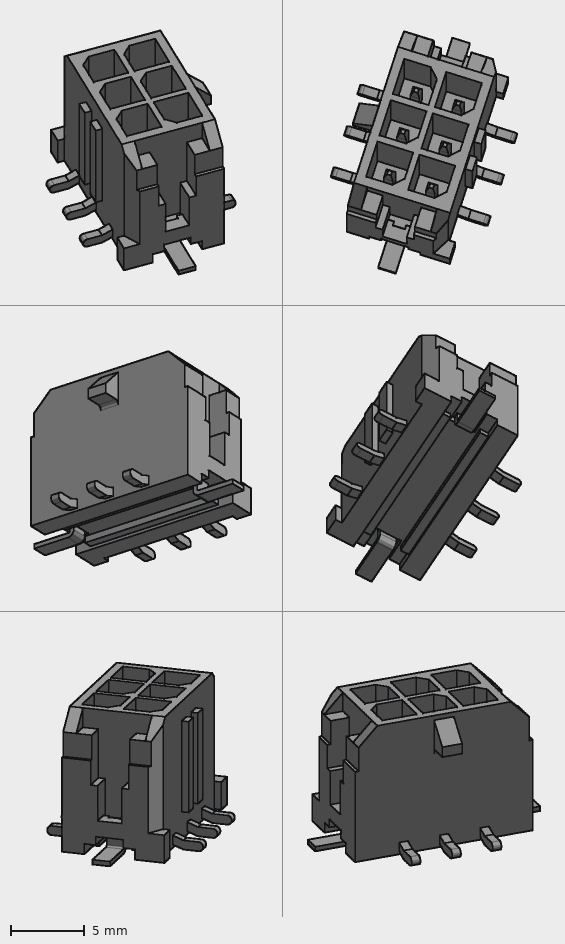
import cadquery as cq
import math

body_bottom = 0.05
body_top = 9.95
shoulder_z = 8.55
step_z = 6.81
slot_step_z = 5.06
slot_floor_z = 2.55
groove_floor_z = 2.33
foot_top_z = 2.05

half_length = 6.58
upper_half_length = 6.33
core_half_length = 4.93
half_width = 3.43
corner_cut_length = 1.2
corner_cut_width = 0.67
front_projection = 0.5
front_y = -half_width - front_projection

shelf_half_width = 2.48
slot_half_width = 1.37
slot_narrow_half_width = 0.87
groove_x = 5.35
groove_notch_depth = 0.28
groove_notch_half_width = 0.43

pitch = 3.0
columns = (-1, 0, 1)
rows = (-1, 1)
pocket_size = 2.55
pocket_key = 0.67
pocket_floor_z = slot_floor_z
pin_size = 0.65
pin_tip_size = 0.28
pin_tip_height = 0.83
pin_top_z = step_z

tail_thickness = 0.67
tail_span = 11.2
tail_reach = tail_span / 2
tail_bend_y = 4.21
tail_root_depth = 0.5
tail_root_y = half_width - tail_root_depth
tail_slope_angle = 19.0
tail_slope = math.tan(math.radians(tail_slope_angle))

rib_width = 1.0
rib_spacing = 1.96
latch_width = 1.47
latch_reach = 1.42
latch_bottom_z = 7.45
latch_lip_z = 8.2
latch_fillet = 0.3

underside_z = 0.8
channel_half_width = 1.17
relief_half_width = 1.81
pad_bottom_z = 0.3
end_notch_half_width = 0.98
end_notch_top_z = 1.4

clip_reach = 8.32
clip_width = 1.27
clip_thickness = 0.35
clip_inner_radius = 0.13
clip_face_x = groove_x
clip_top_z = 2.0


def box(x0, x1, y0, y1, z0, z1):
    """Axis-aligned block between two corners."""
    return cq.Workplane("XY").box(x1 - x0, y1 - y0, z1 - z0, centered=False).translate((x0, y0, z0))


def both_ends(shape):
    """The shape together with its mirror image at the opposite end."""
    return shape.union(shape.mirror("YZ"))


def make_housing():
    """Outer shell: stepped, bevelled end profile with the front corners cut and feet kept."""
    profile = [
        (half_length, body_bottom),
        (half_length, step_z),
        (upper_half_length, step_z),
        (upper_half_length, shoulder_z),
        (core_half_length, body_top),
    ]
    outline = profile + [(-x, z) for x, z in reversed(profile)]
    shell = cq.Workplane("XZ", origin=(0, half_width, 0)).polyline(outline).close().extrude(2 * half_width)

    corner = (
        cq.Workplane("XY", origin=(0, 0, foot_top_z))
        .moveTo(half_length, -half_width)
        .lineTo(half_length, -half_width + corner_cut_width)
        .lineTo(half_length - corner_cut_length, -half_width)
        .close()
        .extrude(body_top - foot_top_z)
    )
    foot = box(half_length - corner_cut_length, half_length, front_y, -half_width, body_bottom, foot_top_z)
    return shell.cut(both_ends(corner)).union(both_ends(foot))


def make_end_slots():
    """Stepped openings in both ends, down to a floor with a shallow notched groove."""
    slot = cq.Workplane()
    for half_opening, floor in (
        (shelf_half_width, shoulder_z),
        (slot_half_width, slot_step_z),
        (slot_narrow_half_width, slot_floor_z),
    ):
        slot = slot.add(box(core_half_length, half_length, -half_opening, half_opening, floor, body_top))
    groove = box(core_half_length, groove_x, -slot_narrow_half_width, slot_narrow_half_width,
                 groove_floor_z, slot_floor_z)
    notch = box(groove_x, groove_x + groove_notch_depth, -groove_notch_half_width, groove_notch_half_width,
                groove_floor_z, slot_floor_z)
    return both_ends(slot.combine().union(groove).union(notch))


def make_pocket(column, row):
    """Square pocket with one front corner cut off as a key."""
    key_side = 1 if (column, row) == (1, 1) else -1
    half = pocket_size / 2
    return (
        cq.Workplane("XY", origin=(column * pitch, row * pitch / 2, pocket_floor_z))
        .moveTo(key_side * half, half)
        .lineTo(-key_side * half, half)
        .lineTo(-key_side * half, -half)
        .lineTo(key_side * (half - pocket_key), -half)
        .lineTo(key_side * half, -half + pocket_key)
        .close()
        .extrude(body_top - pocket_floor_z)
    )


def make_pin(column, row):
    """Square contact pin with a blunt pyramid tip, rooted in the pocket floor."""
    shaft_top = pin_top_z - pin_tip_height
    pin = (
        cq.Workplane("XY", origin=(column * pitch, row * pitch / 2, underside_z))
        .rect(pin_size, pin_size)
        .extrude(shaft_top - underside_z)
    )
    tip = (
        cq.Workplane("XY", origin=(column * pitch, row * pitch / 2, shaft_top))
        .rect(pin_size, pin_size)
        .workplane(offset=pin_tip_height)
        .rect(pin_tip_size, pin_tip_size)
        .loft(ruled=True)
    )
    return pin.union(tip)


def make_tail(column):
    """Solder tail on the rear side: flat foot with rounded end, sloping up into the housing."""
    end_radius = tail_thickness / 2
    rise = (tail_bend_y - tail_root_y) * tail_slope
    return (
        cq.Workplane("YZ", origin=(column * pitch - pin_size / 2, 0, 0))
        .moveTo(tail_reach - end_radius, 0)
        .threePointArc((tail_reach, end_radius), (tail_reach - end_radius, tail_thickness))
        .lineTo(tail_bend_y, tail_thickness)
        .lineTo(tail_root_y, tail_thickness + rise)
        .lineTo(tail_root_y, rise)
        .lineTo(tail_bend_y, 0)
        .close()
        .extrude(pin_size)
    )


def make_latch():
    """Wedge-shaped catch on the rear face, blended into the wall underneath."""
    lip_y = half_width + latch_reach
    return (
        cq.Workplane("YZ", origin=(-latch_width / 2, 0, 0))
        .moveTo(half_width, latch_lip_z + latch_reach)
        .lineTo(lip_y, latch_lip_z)
        .lineTo(lip_y, latch_bottom_z)
        .lineTo(half_width + latch_fillet, latch_bottom_z)
        .radiusArc((half_width, latch_bottom_z - latch_fillet), -latch_fillet)
        .close()
        .extrude(latch_width)
    )


def make_rib(side):
    """Upright rib on the front face."""
    centre = side * rib_spacing / 2
    return box(centre - rib_width / 2, centre + rib_width / 2, front_y, -half_width, foot_top_z, shoulder_z)


def make_underside_cut():
    """Central through channel, lower pads beside it, and reliefs at both ends."""
    channel = box(-half_length, half_length, -channel_half_width, channel_half_width,
                  body_bottom, underside_z)
    pad_gap = box(-half_length, half_length, -relief_half_width, relief_half_width, body_bottom, pad_bottom_z)
    relief = box(clip_face_x, half_length, -relief_half_width, relief_half_width, body_bottom, underside_z)
    notch = box(core_half_length, half_length, -end_notch_half_width, end_notch_half_width,
                underside_z, end_notch_top_z)
    return channel.union(pad_gap).union(both_ends(relief.union(notch)))


def make_clip():
    """L-shaped hold-down clip with a flat solder foot and an upright leg."""
    inner_x = clip_face_x - clip_thickness
    clip = (
        cq.Workplane("XZ", origin=(0, clip_width / 2, 0))
        .moveTo(clip_reach, 0)
        .lineTo(clip_reach, clip_thickness)
        .lineTo(clip_face_x, clip_thickness)
        .lineTo(clip_face_x, clip_top_z)
        .lineTo(inner_x, clip_top_z)
        .lineTo(inner_x, 0)
        .close()
        .extrude(clip_width)
    )
    outer_corner = cq.selectors.NearestToPointSelector((inner_x, 0, 0))
    inner_corner = cq.selectors.NearestToPointSelector((clip_face_x, 0, clip_thickness))
    clip = clip.edges("|Y").edges(outer_corner).fillet(clip_inner_radius + clip_thickness)
    return clip.edges("|Y").edges(inner_corner).fillet(clip_inner_radius)


result = make_housing().cut(make_end_slots()).cut(make_underside_cut())
for column in columns:
    for row in rows:
        result = result.cut(make_pocket(column, row)).union(make_pin(column, row))
    tail = make_tail(column)
    result = result.union(tail).union(tail.mirror("XZ"))
for side in (-1, 1):
    result = result.union(make_rib(side))
result = result.union(make_latch()).union(both_ends(make_clip()))